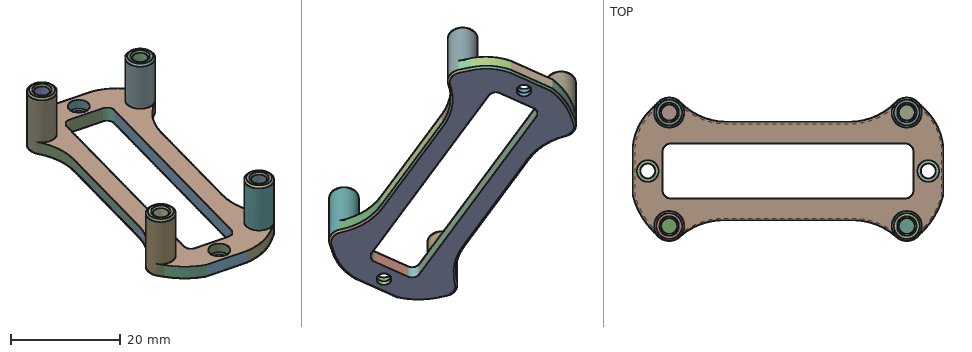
import cadquery as cq
import math

length = 56.9
plate_thickness = 3.0
waist_width = 18.05
end_flat = 8.75
shoulder_y = 11.05
neck_radius = 12.0
edge_chamfer = 0.4

window_length = 45.85
window_width = 10.0
window_radius = 1.5

total_height = 13.0
post_diameter = 5.5
post_x = 21.75
back_post_y = 10.7
front_post_y = 10.05
bore_diameter = 2.9
bore_chamfer = 0.35

screw_x = 25.65
screw_diameter = 2.7
counterbore_diameter = 4.0
counterbore_depth = 2.0

post_radius = post_diameter / 2
bore_depth = total_height - plate_thickness
post_centres = [(x, y) for x in (-post_x, post_x) for y in (-front_post_y, back_post_y)]


def quarter_plate(side_x, side_y, post_y):
    """Plate quadrant on the given sides (+1 or -1), reaching in to the post axis."""
    half_waist = waist_width / 2

    neck_y = half_waist + neck_radius
    rise = neck_y - post_y
    neck_x = post_x - math.sqrt((neck_radius + post_radius) ** 2 - rise ** 2)
    neck_angle = math.atan2(rise, neck_x - post_x)

    def placed(x, y):
        return (side_x * x, side_y * y)

    def on_post(angle):
        return (post_x + post_radius * math.cos(angle), post_y + post_radius * math.sin(angle))

    line_angle = math.pi / 4
    line_x, line_y = on_post(line_angle)
    shoulder_x = line_x + line_y - shoulder_y

    return (
        cq.Workplane("XY")
        .lineTo(*placed(0, half_waist))
        .lineTo(*placed(neck_x, half_waist))
        .tangentArcPoint(placed(*on_post(neck_angle)), relative=False)
        .lineTo(*placed(post_x, post_y))
        .lineTo(*placed(line_x, line_y))
        .lineTo(*placed(shoulder_x, shoulder_y))
        .tangentArcPoint(placed(length / 2, end_flat / 2), relative=False)
        .lineTo(*placed(length / 2, 0))
        .close()
        .extrude(plate_thickness)
    )


def make_body():
    """Join the plate quadrants to the posts, then bevel the underside and post rims."""
    body = cq.Workplane("XY").pushPoints(post_centres).circle(post_radius).extrude(total_height)
    for side_x in (-1, 1):
        for side_y, post_y in ((-1, front_post_y), (1, back_post_y)):
            body = body.union(quarter_plate(side_x, side_y, post_y))
    return body.faces("<Z or >Z").edges().chamfer(edge_chamfer)


def cut_window(body):
    window = (
        cq.Workplane("XY")
        .rect(window_length, window_width)
        .extrude(plate_thickness)
        .edges("|Z")
        .fillet(window_radius)
    )
    return body.cut(window)


def cut_post_bores(body):
    """Bore each post blind down to the plate and countersink its mouth."""
    bores = (
        cq.Workplane("XY")
        .workplane(offset=total_height - bore_depth)
        .pushPoints(post_centres)
        .circle(bore_diameter / 2)
        .extrude(bore_depth)
    )
    countersinks = (
        cq.Workplane("XY")
        .workplane(offset=total_height)
        .pushPoints(post_centres)
        .circle(bore_diameter / 2 + bore_chamfer)
        .extrude(-bore_chamfer, taper=45)
    )
    return body.cut(bores).cut(countersinks)


def cut_screw_holes(body):
    return (
        body.copyWorkplane(cq.Workplane("XY", origin=(0, 0, plate_thickness)))
        .pushPoints([(-screw_x, 0), (screw_x, 0)])
        .cboreHole(screw_diameter, counterbore_diameter, counterbore_depth, plate_thickness)
    )


result = cut_screw_holes(cut_post_bores(cut_window(make_body())))